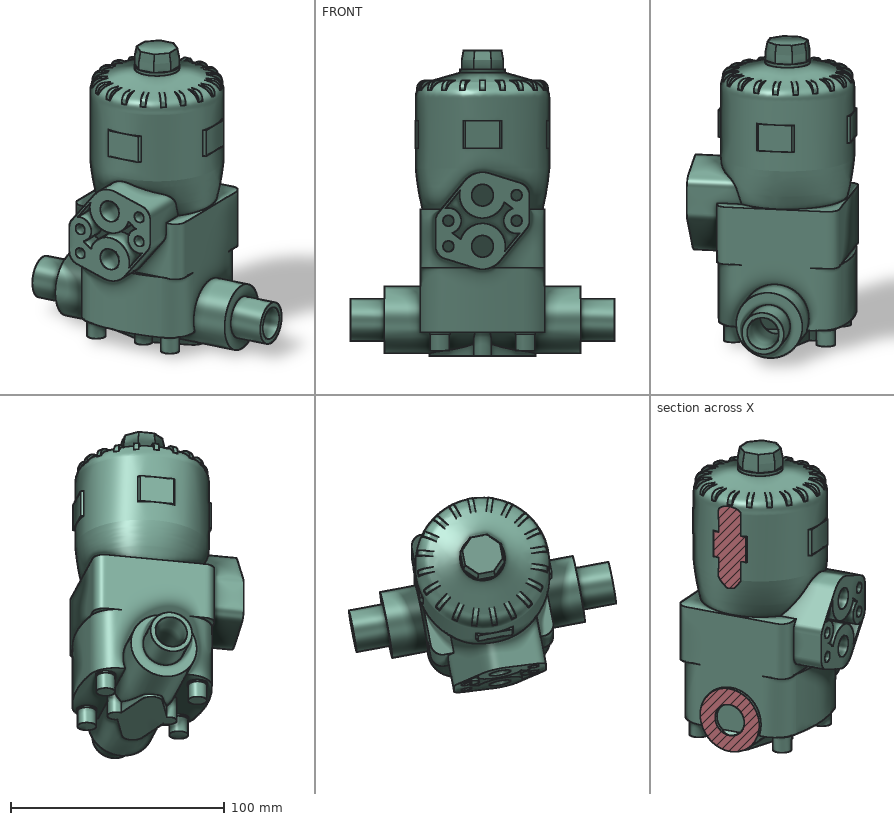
import cadquery as cq
import math


pipe_length = 124.0
pipe_diameter = 20.0
bore_diameter = 15.2
shoulder_length = 92.0
shoulder_diameter = 31.6
bore_ramp_top = -6.0

body_bottom = -5.8
body_top = 24.35
body_half_x = 29.2
body_half_y = 31.67
body_arc_radius = 78.0
body_corner_radius = 13.0

block_side = 58.4
block_top = 52.0
block_corner_radius = 5.5

shell_radius = 31.45
shell_foot_radius = 28.3
barrel_bulge = 0.35
shell_cylinder_bottom = 71.1
shell_cylinder_top = 104.2
shoulder_round = 7.8
dome_slope = math.radians(16.0)
collar_radius = 10.6
collar_top = 117.6

cap_sides = 8
cap_across_flats = 19.6
cap_top_across_flats = 17.9
cap_straight_top = 121.9
cap_top = 126.5

rib_count = 20
rib_width = 2.4
rib_inner_radius = 20.0
rib_outer_radius = 30.8
rib_bottom = 107.8
rib_top = 112.4
rib_round = 4.0

pad_count = 4
pad_face = 31.5
pad_root = 29.0
pad_face_half_width = 8.1
pad_root_half_width = 9.7
pad_bottom = 80.5
pad_top = 93.4

port_face = -44.0
port_back = -15.0
port_centre_z = 46.5
port_spacing = 24.0
port_diameter = 10.2
port_depth = 14.0
port_boss_radius = 10.75
screw_offset_x = 16.0
screw_boss_radius = 6.0
screw_hole_diameter = 5.1
screw_hole_depth = 12.0
recess_depth = 10.0
recess_wall = 1.2
recess_web_offset = 3.5

bolt_x = 20.0
bolt_y = 22.1
bolt_radius = 4.45
bolt_bottom = -14.5
bolt_collar_radius = 4.75
bolt_collar_height = 0.9

foot_bottom = -17.0
foot_end_x = 19.8
foot_end_radius = 5.1
foot_boss_y = 12.4
foot_boss_radius = 4.2

fuse_overlap = 1.0


def cylinder_z(x, y, radius, bottom, top):
    return cq.Workplane("XY", origin=(x, y, bottom)).circle(radius).extrude(top - bottom)


def tangent_points(circle_a, circle_b):
    """Touch points of the tangent line on the left of the way from circle_a to circle_b."""
    ax, ay, ar = circle_a
    bx, by, br = circle_b
    heading = math.atan2(by - ay, bx - ax)
    tilt = math.asin((ar - br) / math.hypot(bx - ax, by - ay))
    normal = heading + math.pi / 2 - tilt
    nx = math.cos(normal)
    ny = math.sin(normal)
    return (ax + ar * nx, ay + ar * ny), (bx + br * nx, by + br * ny)


def rounded_hull(workplane, circles):
    """Closed outline wrapped around circles listed clockwise; a zero radius gives a sharp corner."""
    count = len(circles)
    sides = [tangent_points(circles[i], circles[(i + 1) % count]) for i in range(count)]
    outline = workplane.moveTo(*sides[0][0])
    for i, (_, end) in enumerate(sides):
        outline = outline.lineTo(*end)
        cx, cy, radius = circles[(i + 1) % count]
        if radius > 0:
            leave = sides[(i + 1) % count][0]
            mid_x = (end[0] + leave[0]) / 2 - cx
            mid_y = (end[1] + leave[1]) / 2 - cy
            stretch = radius / math.hypot(mid_x, mid_y)
            outline = outline.threePointArc((cx + mid_x * stretch, cy + mid_y * stretch), leave)
    return outline.close()


def make_pipe():
    shoulder = cq.Workplane("YZ").circle(shoulder_diameter / 2).extrude(shoulder_length / 2, both=True)
    pipe = cq.Workplane("YZ").circle(pipe_diameter / 2).extrude(pipe_length / 2, both=True)
    return shoulder.union(pipe)


def make_bore():
    """Blind bore from the -X end, closed at the body wall with a 45 degree ramp along its floor."""
    radius = bore_diameter / 2
    ramp_start = -body_half_x - (bore_ramp_top + radius)
    profile = [
        (-pipe_length / 2, -radius),
        (ramp_start, -radius),
        (-body_half_x, bore_ramp_top),
        (-body_half_x, radius),
        (-pipe_length / 2, radius),
    ]
    envelope = cq.Workplane("XZ").polyline(profile).close().extrude(radius, both=True)
    return cq.Workplane("YZ").circle(radius).extrude(-pipe_length / 2).intersect(envelope)


def make_body():
    edge_y = body_half_y - body_arc_radius + math.sqrt(body_arc_radius**2 - body_half_x**2)
    return (
        cq.Workplane("XY", origin=(0, 0, body_bottom))
        .moveTo(-body_half_x, -edge_y)
        .threePointArc((0, -body_half_y), (body_half_x, -edge_y))
        .lineTo(body_half_x, edge_y)
        .threePointArc((0, body_half_y), (-body_half_x, edge_y))
        .close()
        .extrude(body_top - body_bottom)
        .edges("|Z")
        .fillet(body_corner_radius)
    )


def make_block():
    return (
        cq.Workplane("XY", origin=(0, 0, body_top))
        .rect(block_side, block_side)
        .extrude(block_top - body_top)
        .edges("|Z")
        .fillet(block_corner_radius)
    )


def make_shell():
    """Revolved actuator shell: barrel, cylinder, rounded shoulder, shallow cone and collar."""
    barrel_mid = (
        (shell_radius + shell_foot_radius) / 2 + barrel_bulge,
        (shell_cylinder_bottom + block_top) / 2,
    )
    round_centre = shell_radius - shoulder_round
    round_angle = (math.pi / 2 - dome_slope) / 2
    round_mid = (
        round_centre + shoulder_round * math.cos(round_angle),
        shell_cylinder_top + shoulder_round * math.sin(round_angle),
    )
    round_end = (
        round_centre + shoulder_round * math.sin(dome_slope),
        shell_cylinder_top + shoulder_round * math.cos(dome_slope),
    )
    cone_top = round_end[1] + (round_end[0] - collar_radius) * math.tan(dome_slope)
    return (
        cq.Workplane("XZ")
        .moveTo(0, block_top - fuse_overlap)
        .lineTo(shell_foot_radius, block_top - fuse_overlap)
        .lineTo(shell_foot_radius, block_top)
        .threePointArc(barrel_mid, (shell_radius, shell_cylinder_bottom))
        .lineTo(shell_radius, shell_cylinder_top)
        .threePointArc(round_mid, round_end)
        .lineTo(collar_radius, cone_top)
        .lineTo(collar_radius, collar_top)
        .lineTo(0, collar_top)
        .close()
        .revolve(360, (0, 0, 0), (0, 1, 0))
    )


def octagon(workplane, across_flats):
    """Regular octagon with flats facing the X and Y directions."""
    corner_radius = across_flats / 2 / math.cos(math.pi / cap_sides)
    corners = []
    for i in range(cap_sides):
        angle = (i + 0.5) * 2 * math.pi / cap_sides
        corners.append((corner_radius * math.cos(angle), corner_radius * math.sin(angle)))
    return workplane.polyline(corners).close()


def make_cap():
    straight = octagon(cq.Workplane("XY", origin=(0, 0, collar_top)), cap_across_flats)
    straight = straight.extrude(cap_straight_top - collar_top)
    tapered = octagon(cq.Workplane("XY", origin=(0, 0, cap_straight_top)), cap_across_flats)
    tapered = octagon(tapered.workplane(offset=cap_top - cap_straight_top), cap_top_across_flats)
    return straight.union(tapered.loft(ruled=True))


def make_rib():
    length = rib_outer_radius - rib_inner_radius
    height = rib_top - rib_bottom
    return (
        cq.Workplane("XY", origin=(rib_inner_radius, 0, rib_bottom))
        .box(length, rib_width, height, centered=(False, True, False))
        .edges(">X and >Z")
        .fillet(rib_round)
    )


def make_pad():
    corners = [
        (pad_root, -pad_root_half_width),
        (pad_face, -pad_face_half_width),
        (pad_face, pad_face_half_width),
        (pad_root, pad_root_half_width),
    ]
    pad = cq.Workplane("XY", origin=(0, 0, pad_bottom)).polyline(corners).close()
    return pad.extrude(pad_top - pad_bottom)


def add_ring(solid, feature, count):
    """Fuse copies of a feature, evenly spaced around the actuator axis."""
    for i in range(count):
        solid = solid.union(feature.rotate((0, 0, 0), (0, 0, 1), 360 / count * i))
    return solid


def port_plane(y):
    return cq.Workplane("XZ", origin=(0, y, port_centre_z))


def make_port_block():
    half_spacing = port_spacing / 2
    circles = [
        (0, half_spacing, port_boss_radius),
        (screw_offset_x, half_spacing, screw_boss_radius),
        (screw_offset_x, 0, screw_boss_radius),
        (0, -half_spacing, port_boss_radius),
        (-screw_offset_x, -half_spacing, screw_boss_radius),
        (-screw_offset_x, 0, screw_boss_radius),
    ]
    return rounded_hull(port_plane(port_back), circles).extrude(port_back - port_face)


def make_port_recess():
    """Pocket between the port and screw bosses, symmetric by a half turn."""
    half_spacing = port_spacing / 2
    band_length = 4 * port_spacing
    port_to_screw = math.hypot(screw_offset_x, half_spacing)

    side_tilt = math.asin((port_boss_radius - screw_boss_radius) / port_to_screw)
    side_angle = math.atan2(half_spacing, screw_offset_x) + side_tilt
    side_distance = screw_offset_x * math.sin(side_angle) + screw_boss_radius
    band_width = 2 * (side_distance - recess_wall)
    band = port_plane(port_face).transformed(rotate=(0, 0, math.degrees(side_angle)))
    band = band.rect(band_length, band_width).extrude(-recess_depth)

    web_angle = -math.atan2(half_spacing, screw_offset_x)
    web_distance = half_spacing * math.cos(web_angle) + recess_web_offset
    web = port_plane(port_face).transformed(rotate=(0, 0, math.degrees(web_angle)))
    web = web.rect(band_length, 2 * web_distance).extrude(-recess_depth)

    recess = band.intersect(web)
    for side in (1, -1):
        port_boss = port_plane(port_face).center(0, side * half_spacing)
        recess = recess.cut(port_boss.circle(port_boss_radius).extrude(-recess_depth))
        screw_boss = port_plane(port_face).center(side * screw_offset_x, 0)
        recess = recess.cut(screw_boss.circle(screw_boss_radius).extrude(-recess_depth))
    return recess


def make_port_holes():
    half_spacing = port_spacing / 2
    ports = port_plane(port_face).pushPoints([(0, half_spacing), (0, -half_spacing)])
    screws = [
        (screw_offset_x, half_spacing),
        (screw_offset_x, 0),
        (-screw_offset_x, 0),
        (-screw_offset_x, -half_spacing),
    ]
    screw_holes = port_plane(port_face).pushPoints(screws).circle(screw_hole_diameter / 2)
    port_holes = ports.circle(port_diameter / 2).extrude(-port_depth)
    return port_holes.union(screw_holes.extrude(-screw_hole_depth))


def make_bolts():
    bolts = cq.Workplane("XY")
    for x in (-bolt_x, bolt_x):
        for y in (-bolt_y, bolt_y):
            bolts = bolts.union(cylinder_z(x, y, bolt_radius, bolt_bottom, body_bottom + fuse_overlap))
            collar_bottom = body_bottom - bolt_collar_height
            bolts = bolts.union(cylinder_z(x, y, bolt_collar_radius, collar_bottom, body_bottom))
    return bolts


def make_foot():
    """Diamond plate with rounded ends under the pipe, with an upright boss at each side corner."""
    circles = [
        (0, foot_boss_y, 0),
        (foot_end_x, 0, foot_end_radius),
        (0, -foot_boss_y, 0),
        (-foot_end_x, 0, foot_end_radius),
    ]
    foot = rounded_hull(cq.Workplane("XY", origin=(0, 0, foot_bottom)), circles)
    foot = foot.extrude(body_bottom - foot_bottom)
    for y in (-foot_boss_y, foot_boss_y):
        foot = foot.union(cylinder_z(0, y, foot_boss_radius, foot_bottom, body_bottom + fuse_overlap))
    return foot


actuator = add_ring(make_shell(), make_rib(), rib_count)
actuator = add_ring(actuator, make_pad(), pad_count).union(make_cap())

bore = make_bore()
valve = make_pipe().union(make_foot())
valve = valve.union(make_body()).union(make_bolts()).union(make_block())
valve = valve.cut(bore).cut(bore.mirror("YZ"))

result = valve.union(actuator).union(make_port_block())
result = result.cut(make_port_recess()).cut(make_port_holes())